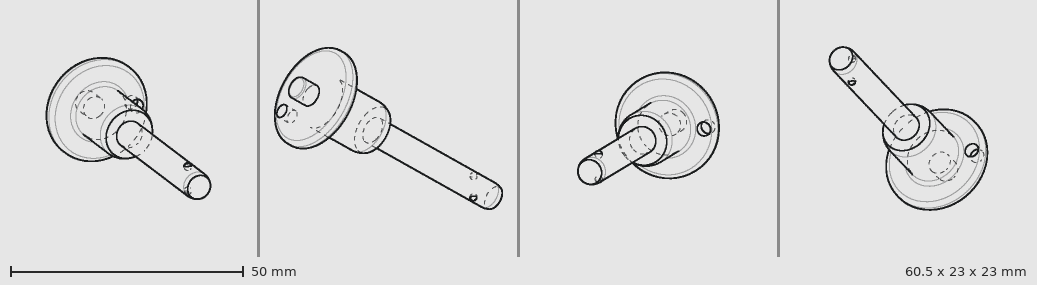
import cadquery as cq
import math

TOTAL_LENGTH = 60.5

BUTTON_RADIUS = 2.5
BUTTON_LENGTH = 4.5
BUTTON_ROUNDING = 0.3

FLANGE_RADIUS = 11.5
FLANGE_THICKNESS = 3.0
FLANGE_ROUNDING = 1.0
LANYARD_HOLE_DIAMETER = 3.0
LANYARD_HOLE_OFFSET = 8.7

GRIP_RADIUS = 6.0
GRIP_ROOT_FILLET = 0.85
GRIP_END_X = 23.35
GRIP_NOSE_LENGTH = 2.0
GRIP_NOSE_DROP = 0.55

SHANK_RADIUS = 2.995
TIP_LENGTH = 1.6
TIP_DROP = 0.3

BALL_RADIUS = 0.8
BALL_X = 54.3
BALL_REACH = 3.5

flange_back_x = BUTTON_LENGTH + FLANGE_THICKNESS
ball_offset = BALL_REACH - BALL_RADIUS


def quarter_arc_middle(center_x, center_r, radius, side_x, side_r):
    """Middle of a quarter arc; the two sides (+1 or -1) choose the quadrant."""
    step = radius * math.sqrt(0.5)
    return (center_x + side_x * step, center_r + side_r * step)


def nose_arc(outline, end_x, start_radius, length, drop):
    """Add a rounded nose that leaves the cylinder tangentially and drops to its end face."""
    return outline.lineTo(end_x - length, start_radius).tangentArcPoint(
        (end_x, start_radius - drop), relative=False
    )


def make_turned_pin():
    """Revolve the button, flange, grip and shank about the X axis."""
    button_center_r = BUTTON_RADIUS - BUTTON_ROUNDING
    flange_center_r = FLANGE_RADIUS - FLANGE_ROUNDING
    flange_front_center_x = BUTTON_LENGTH + FLANGE_ROUNDING
    flange_back_center_x = flange_back_x - FLANGE_ROUNDING
    root_center_x = flange_back_x + GRIP_ROOT_FILLET
    root_center_r = GRIP_RADIUS + GRIP_ROOT_FILLET

    outline = (
        cq.Workplane("XY")
        .lineTo(0, button_center_r)
        .threePointArc(
            quarter_arc_middle(BUTTON_ROUNDING, button_center_r, BUTTON_ROUNDING, -1, 1),
            (BUTTON_ROUNDING, BUTTON_RADIUS),
        )
        .lineTo(BUTTON_LENGTH, BUTTON_RADIUS)
    )
    outline = (
        outline.lineTo(BUTTON_LENGTH, flange_center_r)
        .threePointArc(
            quarter_arc_middle(flange_front_center_x, flange_center_r, FLANGE_ROUNDING, -1, 1),
            (flange_front_center_x, FLANGE_RADIUS),
        )
        .lineTo(flange_back_center_x, FLANGE_RADIUS)
        .threePointArc(
            quarter_arc_middle(flange_back_center_x, flange_center_r, FLANGE_ROUNDING, 1, 1),
            (flange_back_x, flange_center_r),
        )
    )
    outline = outline.lineTo(flange_back_x, root_center_r).threePointArc(
        quarter_arc_middle(root_center_x, root_center_r, GRIP_ROOT_FILLET, -1, -1),
        (root_center_x, GRIP_RADIUS),
    )
    outline = nose_arc(outline, GRIP_END_X, GRIP_RADIUS, GRIP_NOSE_LENGTH, GRIP_NOSE_DROP)
    outline = outline.lineTo(GRIP_END_X, SHANK_RADIUS)
    outline = nose_arc(outline, TOTAL_LENGTH, SHANK_RADIUS, TIP_LENGTH, TIP_DROP)
    outline = outline.lineTo(TOTAL_LENGTH, 0).close()
    return outline.revolve(360, (0, 0, 0), (1, 0, 0))


def make_lanyard_hole():
    """Cutter for the hole through the flange, on its +Y side."""
    return (
        cq.Workplane("YZ", origin=(BUTTON_LENGTH, 0, 0))
        .center(LANYARD_HOLE_OFFSET, 0)
        .circle(LANYARD_HOLE_DIAMETER / 2)
        .extrude(FLANGE_THICKNESS)
    )


def make_ball(side):
    """Locking ball above (side = 1) or below (side = -1) the pin axis."""
    return cq.Workplane("XY").sphere(BALL_RADIUS).translate((BALL_X, 0, side * ball_offset))


balls = [make_ball(side) for side in (1, -1)]

pin = make_turned_pin().cut(make_lanyard_hole())
for ball in balls:
    pin = pin.cut(ball)

result = cq.Compound.makeCompound([pin.val(), *[ball.val() for ball in balls]])